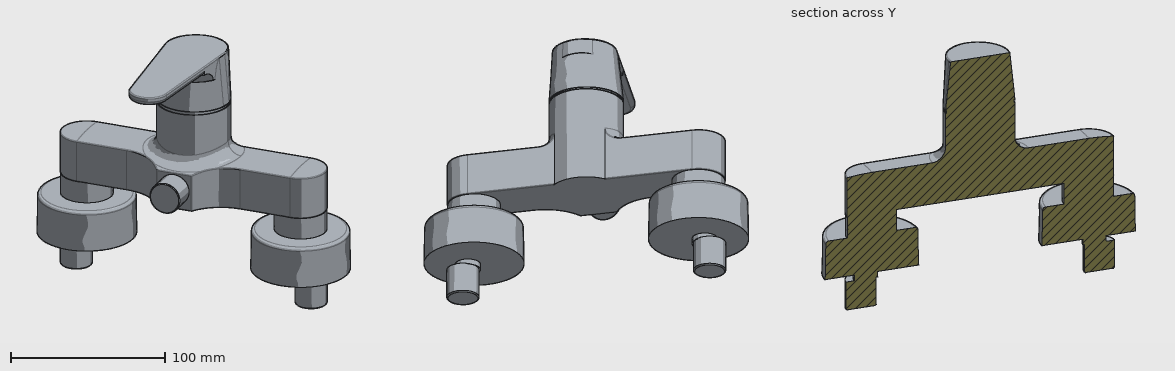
import cadquery as cq
import math

INLET_SPACING = 150.0
FLANGE_BASE_RADIUS = 32.48
FLANGE_TOP_RADIUS = 32.0
FLANGE_HEIGHT = 27.5
FLANGE_FILLET = 2.2
SLEEVE_RADIUS = 17.2
THREAD_RADIUS = 10.5
THREAD_SPACING = 164.8
THREAD_BOTTOM_Z = -24.0
THREAD_TOP_Z = -3.7
THREAD_CHAMFER = 0.8
NECK_RADIUS = 8.2
NECK_SPACING = 158.2

BODY_BOTTOM_Z = 42.0
BODY_CREST_Z = 71.6
BODY_CROWN_RADIUS = 130.0
BODY_HALF_WIDTH = 17.4
BODY_EDGE_FILLET = 0.6
SHOULDER_START_X = 39.8
PAD_HALF_WIDTH = 12.3
PAD_Y = -32.9

COLUMN_RADIUS = 24.2
COLUMN_TOP_Z = 105.4
COLUMN_BASE_FILLET = 9.0
GAP_RADIUS = 23.6

OUTLET_RADIUS = 10.5
OUTLET_Z = 55.6
OUTLET_END_Y = -48.9
OUTLET_CHAMFER = 0.6

HANDLE_TILT = 1.15
HANDLE_BOTTOM_Z = 107.1
HANDLE_TOP_Z = 141.5
HEAD_RADIUS = 21.0
HEAD_Y = 3.6
TIP_RADIUS = 13.0
TIP_END_Y = -88.76
HEAD_FRONT_Y = -23.8
HEAD_CHEEK_Y = -6.0
FLANK_BULGE = 0.05
LEVER_THICKNESS = 5.6
LEVER_COVE_RADIUS = 8.0
LEVER_UNDER_FILLET = 2.8
LEVER_TOP_FILLET = 0.8

EMBED = 3.0


def cylinder(x, radius, bottom_z, top_z):
    """Vertical cylinder centred on Y = 0, between two heights."""
    return cq.Workplane("XY", origin=(x, 0, bottom_z)).circle(radius).extrude(top_z - bottom_z)


def connector(side):
    """Wall flange, sleeve and offset threaded end on one side (-1 or +1)."""
    inlet_x = side * INLET_SPACING / 2
    flange = (
        cq.Workplane("XZ", origin=(inlet_x, 0, 0))
        .lineTo(FLANGE_BASE_RADIUS, 0)
        .lineTo(FLANGE_TOP_RADIUS, FLANGE_HEIGHT)
        .lineTo(0, FLANGE_HEIGHT)
        .close()
        .revolve(360, (0, 0, 0), (0, 1, 0))
        .faces(">Z")
        .edges()
        .fillet(FLANGE_FILLET)
    )
    sleeve = cylinder(inlet_x, SLEEVE_RADIUS, FLANGE_HEIGHT - EMBED, BODY_BOTTOM_Z)
    neck = cylinder(side * NECK_SPACING / 2, NECK_RADIUS, THREAD_TOP_Z, EMBED)
    thread = cylinder(side * THREAD_SPACING / 2, THREAD_RADIUS, THREAD_BOTTOM_Z, THREAD_TOP_Z)
    thread = thread.faces("<Z").chamfer(THREAD_CHAMFER)
    return flange.union(sleeve).union(neck).union(thread)


def shoulder_midpoint():
    """Middle of the concave arc that runs tangent from the bar to the outlet pad."""
    run = SHOULDER_START_X - PAD_HALF_WIDTH
    rise = -PAD_Y - BODY_HALF_WIDTH
    radius = (run**2 + rise**2) / (2 * rise)
    half_angle = math.asin(run / radius) / 2
    x = SHOULDER_START_X - radius * math.sin(half_angle)
    y = -BODY_HALF_WIDTH - radius * (1 - math.cos(half_angle))
    return x, y


def body_plan():
    """Plan of the bar: round ends, straight back, flared front with a flat pad."""
    end_x = INLET_SPACING / 2
    tip_x = end_x + BODY_HALF_WIDTH
    mid_x, mid_y = shoulder_midpoint()
    return (
        cq.Workplane("XY", origin=(0, 0, BODY_BOTTOM_Z))
        .moveTo(-end_x, BODY_HALF_WIDTH)
        .lineTo(end_x, BODY_HALF_WIDTH)
        .threePointArc((tip_x, 0), (end_x, -BODY_HALF_WIDTH))
        .lineTo(SHOULDER_START_X, -BODY_HALF_WIDTH)
        .threePointArc((mid_x, mid_y), (PAD_HALF_WIDTH, PAD_Y))
        .lineTo(-PAD_HALF_WIDTH, PAD_Y)
        .threePointArc((-mid_x, mid_y), (-SHOULDER_START_X, -BODY_HALF_WIDTH))
        .lineTo(-end_x, -BODY_HALF_WIDTH)
        .threePointArc((-tip_x, 0), (-end_x, BODY_HALF_WIDTH))
        .close()
    )


def crown_profile(plane, origin, reach):
    """Half section of the crowned slab, out to `reach` from its crest line."""
    drop = BODY_CROWN_RADIUS - math.sqrt(BODY_CROWN_RADIUS**2 - reach**2)
    mid_reach = reach / 2
    mid_drop = BODY_CROWN_RADIUS - math.sqrt(BODY_CROWN_RADIUS**2 - mid_reach**2)
    return (
        cq.Workplane(plane, origin=origin)
        .moveTo(0, BODY_BOTTOM_Z)
        .lineTo(reach, BODY_BOTTOM_Z)
        .lineTo(reach, BODY_CREST_Z - drop)
        .threePointArc((mid_reach, BODY_CREST_Z - mid_drop), (0, BODY_CREST_Z))
        .close()
    )


def body():
    """Crowned bar with domed ends, blended into the centre column."""
    half_length = INLET_SPACING / 2
    slab_reach = 2 * COLUMN_RADIUS
    half_slab = crown_profile("YZ", (-half_length, 0, 0), slab_reach).extrude(INLET_SPACING)
    slab = half_slab.union(half_slab.mirror("XZ"))
    column = cylinder(0, COLUMN_RADIUS, BODY_BOTTOM_Z, COLUMN_TOP_Z)
    blended = slab.union(column)
    column_foot = cq.selectors.BoxSelector(
        (-COLUMN_RADIUS, -COLUMN_RADIUS, BODY_CREST_Z - EMBED),
        (COLUMN_RADIUS, COLUMN_RADIUS, BODY_CREST_Z + EMBED),
    )
    blended = blended.edges("not |X").edges(column_foot).fillet(COLUMN_BASE_FILLET)
    for side in (-1, 1):
        dome = crown_profile("XZ", (side * half_length, 0, 0), BODY_HALF_WIDTH + EMBED)
        blended = blended.union(dome.revolve(360, (0, 0, 0), (0, 1, 0)))
    bar = blended.intersect(body_plan().extrude(COLUMN_TOP_Z - BODY_BOTTOM_Z))
    bar = bar.edges("|Z and <Y").fillet(BODY_EDGE_FILLET)
    bar = bar.faces("<Z").edges().fillet(BODY_EDGE_FILLET)
    bar = bar.edges("<X or >X").edges(">Z").fillet(BODY_EDGE_FILLET)
    return bar.union(column)


def outlet():
    """Shower outlet that stands forward of the pad."""
    length = PAD_Y - OUTLET_END_Y + EMBED
    tube = cq.Workplane("XZ", origin=(0, PAD_Y + EMBED, OUTLET_Z)).circle(OUTLET_RADIUS).extrude(length)
    return tube.faces("<Y").chamfer(OUTLET_CHAMFER)


def tangent_points():
    """Points on the +X side where the straight lever edge meets the head and the tip arcs."""
    tip_y = TIP_END_Y + TIP_RADIUS
    lean = math.asin((HEAD_RADIUS - TIP_RADIUS) / (HEAD_Y - tip_y))
    head = (HEAD_RADIUS * math.cos(lean), HEAD_Y - HEAD_RADIUS * math.sin(lean))
    tip = (TIP_RADIUS * math.cos(lean), tip_y - TIP_RADIUS * math.sin(lean))
    return head, tip


def lever_plan(bottom_z):
    """Plan of the lever: a large round head tapering to a small round tip."""
    (head_x, head_y), (tip_x, tip_y) = tangent_points()
    return (
        cq.Workplane("XY", origin=(0, 0, bottom_z))
        .moveTo(-head_x, head_y)
        .threePointArc((0, HEAD_Y + HEAD_RADIUS), (head_x, head_y))
        .lineTo(tip_x, tip_y)
        .threePointArc((0, TIP_END_Y), (-tip_x, tip_y))
        .close()
    )


def head_outline(start, back_y, shoulder, side, cheek, front_y):
    """Closed loop of a back arc, a front arc and two flank arcs, given the points on the +X side."""
    return (
        start.moveTo(-shoulder[0], shoulder[1])
        .threePointArc((0, back_y), shoulder)
        .threePointArc(side, cheek)
        .threePointArc((0, front_y), (-cheek[0], cheek[1]))
        .threePointArc((-side[0], side[1]), (-shoulder[0], shoulder[1]))
        .close()
    )


def column_point(y):
    """Point on the +X side of the column circle at the given Y."""
    return math.sqrt(COLUMN_RADIUS**2 - y**2), y


def handle_head():
    """Cap that changes from the column circle to the narrower lever head."""
    shoulder, tip = tangent_points()
    narrowing = (shoulder[0] - tip[0]) / (shoulder[1] - tip[1])
    cheek = (shoulder[0] - narrowing * (shoulder[1] - HEAD_CHEEK_Y), HEAD_CHEEK_Y)
    side_y = (shoulder[1] + HEAD_CHEEK_Y) / 2
    side = ((shoulder[0] + cheek[0]) / 2 + FLANK_BULGE, side_y)
    base = head_outline(
        cq.Workplane("XY", origin=(0, 0, HANDLE_BOTTOM_Z)),
        COLUMN_RADIUS,
        column_point(shoulder[1]),
        column_point(side_y),
        column_point(HEAD_CHEEK_Y),
        -COLUMN_RADIUS,
    )
    top = base.workplane(offset=HANDLE_TOP_Z - LEVER_TOP_FILLET - HANDLE_BOTTOM_Z)
    head = head_outline(top, HEAD_Y + HEAD_RADIUS, shoulder, side, cheek, HEAD_FRONT_Y)
    return head.loft()


def lever_cove():
    """Concave blend from the round cap into the underside of the lever."""
    underside_z = HANDLE_TOP_Z - LEVER_THICKNESS
    radius = -HEAD_FRONT_Y
    inset = LEVER_COVE_RADIUS * (1 - math.sqrt(0.5))
    ring = (
        cq.Workplane("XZ")
        .moveTo(0, underside_z - LEVER_COVE_RADIUS)
        .lineTo(radius, underside_z - LEVER_COVE_RADIUS)
        .threePointArc((radius + inset, underside_z - inset), (radius + LEVER_COVE_RADIUS, underside_z))
        .lineTo(radius + LEVER_COVE_RADIUS, underside_z + LEVER_UNDER_FILLET)
        .lineTo(0, underside_z + LEVER_UNDER_FILLET)
        .close()
        .revolve(360, (0, 0, 0), (0, 1, 0))
    )
    depth = LEVER_COVE_RADIUS + LEVER_THICKNESS
    return ring.intersect(lever_plan(HANDLE_TOP_Z - depth).extrude(depth))


def handle():
    """Cap and lever, tilted so that the tip of the lever rises."""
    lever = lever_plan(HANDLE_TOP_Z - LEVER_THICKNESS).extrude(LEVER_THICKNESS)
    lever = lever.faces(">Z").edges().fillet(LEVER_TOP_FILLET)
    lever = lever.faces("<Z").edges().fillet(LEVER_UNDER_FILLET)
    upright = handle_head().union(lever_cove()).union(lever)
    return upright.rotate((0, 0, HANDLE_BOTTOM_Z), (-1, 0, HANDLE_BOTTOM_Z), HANDLE_TILT)


gap_ring = cylinder(0, GAP_RADIUS, COLUMN_TOP_Z - EMBED, HANDLE_BOTTOM_Z + EMBED)
result = body().union(outlet()).union(gap_ring).union(handle())
for side in (-1, 1):
    result = result.union(connector(side))